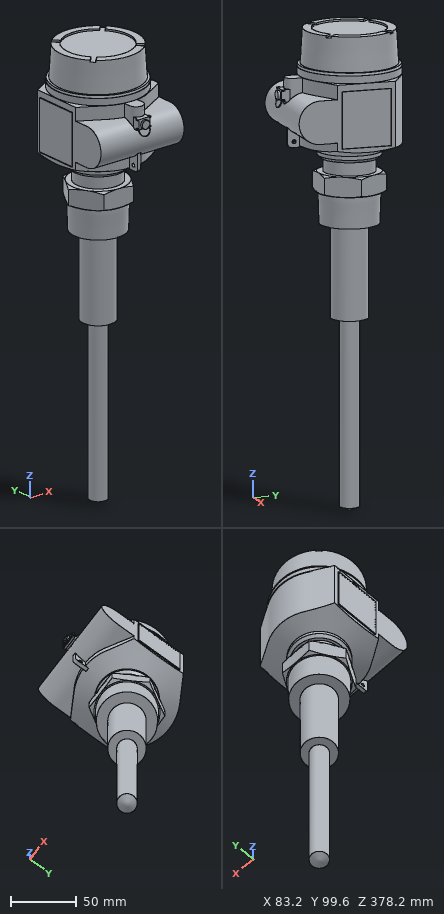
import cadquery as cq
import math

TOTAL_HEIGHT = 378.15
TIP_CONE_TOP = 3.3
SLEEVE_BOTTOM = 151.0
THREAD_BOTTOM = 225.1
THREAD_TOP = 245.8
NUT_BOTTOM = 250.0
NUT_TOP = 266.0
COLLAR_BOTTOM = 276.8
COLLAR_EDGE = 279.2
COLLAR_TOP = 282.3
HOUSING_BOTTOM = 288.3
HOUSING_TOP = 342.5
CAP_RIM_BOTTOM = 348.5
CAP_RIM_TOP = 350.6

ROD_RADIUS = 7.9
SLEEVE_RADIUS = 14.75
THREAD_RADIUS = 24.15
THREAD_TAPER = 1 / 32
NUT_ACROSS_FLATS = 50.5
NUT_CHAMFER_DROP = 1.5
NECK_RADIUS = 20.4
COLLAR_RADIUS = 25.0
COLLAR_END_RADIUS = 22.6

HOUSING_RADIUS = 40.75
HOUSING_NECK_RADIUS = 40.2
CAP_RIM_RADIUS = 40.5
CAP_RIM_EDGE_RADIUS = 39.9
CAP_BASE_RADIUS = 37.8
CAP_TOP_RADIUS = 36.2
CAP_RECESS_RADIUS = 29.2
CAP_RECESS_DEPTH = 1.5
CAP_SLOT_WIDTH = 4.4
CAP_SLOT_COUNT = 4

OVERALL_WIDTH = 83.2
PLATE_LENGTH = 39.5
PLATE_BOTTOM = 292.4
PLATE_TOP = 337.2

BARREL_RADIUS = 17.0
BARREL_Y = -37.5
BARREL_Z = 314.2

BOSS_RADIUS = 6.35
BOSS_Y = -46.4
OVERALL_DEPTH = 99.55
TERMINAL_FRONT_Y = HOUSING_RADIUS - OVERALL_DEPTH
SCREW_Z = 329.0
SCREW_RADIUS = 3.7
SCREW_LENGTH = 2.0
CLAMP_THICKNESS = 2.4
CLAMP_BOTTOM = 325.4
CLAMP_TOP = 334.0
CLAMP_WAIST = 10.6
CLAMP_NOTCH_MARGIN = 0.9
STEM_BOTTOM = 324.2
TAB_THICKNESS = 0.9
TAB_BOTTOM = 319.5

LUG_THICKNESS = 3.2
LUG_FRONT_Y = -50.5
LUG_BOTTOM = 287.2
LUG_CORNER = 3.5
LUG_HOLE_DIAMETER = 3.0
LUG_HOLE_Y = -45.2
LUG_HOLE_Z = 291.9


def box(x_size, y_range, z_range):
    """Block centred on X, between two Y values and two Z values."""
    return (
        cq.Workplane("XY")
        .box(x_size, y_range[1] - y_range[0], z_range[1] - z_range[0], centered=(True, False, False))
        .translate((0, y_range[0], z_range[0]))
    )


def revolve_profile(points):
    """Solid of revolution about Z from (radius, z) points."""
    return cq.Workplane("XZ").polyline(points).close().revolve(360, (0, 0), (0, 1))


def make_probe():
    thread_end_radius = THREAD_RADIUS - THREAD_TAPER * (THREAD_TOP - THREAD_BOTTOM)
    return revolve_profile([
        (0, 0),
        (ROD_RADIUS, TIP_CONE_TOP),
        (ROD_RADIUS, SLEEVE_BOTTOM),
        (SLEEVE_RADIUS, SLEEVE_BOTTOM),
        (SLEEVE_RADIUS, THREAD_BOTTOM),
        (thread_end_radius, THREAD_BOTTOM),
        (THREAD_RADIUS, THREAD_TOP),
        (THREAD_RADIUS, NUT_BOTTOM),
        (NECK_RADIUS, NUT_BOTTOM),
        (NECK_RADIUS, COLLAR_BOTTOM),
        (COLLAR_END_RADIUS, COLLAR_BOTTOM),
        (COLLAR_RADIUS, COLLAR_EDGE),
        (COLLAR_RADIUS, COLLAR_TOP),
        (0, COLLAR_TOP),
    ])


def make_nut():
    """Hexagon with corners on X, its corners turned off by a cone at each end."""
    flat_radius = NUT_ACROSS_FLATS / 2
    corner_radius = flat_radius / math.cos(math.pi / 6)
    hexagon = (
        cq.Workplane("XY", origin=(0, 0, NUT_BOTTOM))
        .polygon(6, 2 * corner_radius)
        .extrude(NUT_TOP - NUT_BOTTOM)
    )
    turned_blank = revolve_profile([
        (0, NUT_BOTTOM),
        (flat_radius, NUT_BOTTOM),
        (corner_radius, NUT_BOTTOM + NUT_CHAMFER_DROP),
        (corner_radius, NUT_TOP - NUT_CHAMFER_DROP),
        (flat_radius, NUT_TOP),
        (0, NUT_TOP),
    ])
    return hexagon.intersect(turned_blank)


def make_housing():
    """Hexagonal body with flats on +X and -X, rounded at front and back, on a conical floor."""
    half_flat = HOUSING_RADIUS * math.tan(math.pi / 6)
    tangent_x = HOUSING_RADIUS * math.sin(math.pi / 6)
    tangent_y = HOUSING_RADIUS * math.cos(math.pi / 6)
    body = (
        cq.Workplane("XY", origin=(0, 0, COLLAR_TOP))
        .moveTo(HOUSING_RADIUS, -half_flat)
        .lineTo(HOUSING_RADIUS, half_flat)
        .lineTo(tangent_x, tangent_y)
        .threePointArc((0, HOUSING_RADIUS), (-tangent_x, tangent_y))
        .lineTo(-HOUSING_RADIUS, half_flat)
        .lineTo(-HOUSING_RADIUS, -half_flat)
        .lineTo(-tangent_x, -tangent_y)
        .threePointArc((0, -HOUSING_RADIUS), (tangent_x, -tangent_y))
        .close()
        .extrude(HOUSING_TOP - COLLAR_TOP)
    )
    floor_slope = (HOUSING_BOTTOM - COLLAR_TOP) / (HOUSING_RADIUS - COLLAR_RADIUS)
    outer_radius = HOUSING_RADIUS / math.cos(math.pi / 6)
    floor_edge = COLLAR_TOP + floor_slope * (outer_radius - COLLAR_RADIUS)
    floor_cone = revolve_profile([
        (0, COLLAR_TOP),
        (COLLAR_RADIUS, COLLAR_TOP),
        (outer_radius, floor_edge),
        (outer_radius, HOUSING_TOP),
        (0, HOUSING_TOP),
    ])
    return body.intersect(floor_cone)


def make_side_plates():
    return box(OVERALL_WIDTH, (-PLATE_LENGTH / 2, PLATE_LENGTH / 2), (PLATE_BOTTOM, PLATE_TOP))


def make_barrel():
    """Full-width cable entry: half-round front, flat top and bottom back to the housing."""
    barrel = (
        cq.Workplane("YZ", origin=(-HOUSING_RADIUS, 0, 0))
        .center(BARREL_Y, BARREL_Z)
        .circle(BARREL_RADIUS)
        .extrude(2 * HOUSING_RADIUS)
    )
    bridge_z = (BARREL_Z - BARREL_RADIUS, BARREL_Z + BARREL_RADIUS)
    return barrel.union(box(2 * HOUSING_RADIUS, (BARREL_Y, 0), bridge_z))


def make_cap():
    cap = revolve_profile([
        (0, HOUSING_TOP),
        (HOUSING_NECK_RADIUS, HOUSING_TOP),
        (HOUSING_NECK_RADIUS, CAP_RIM_BOTTOM),
        (CAP_RIM_RADIUS, CAP_RIM_BOTTOM),
        (CAP_RIM_EDGE_RADIUS, CAP_RIM_TOP),
        (CAP_BASE_RADIUS, CAP_RIM_TOP),
        (CAP_TOP_RADIUS, TOTAL_HEIGHT),
        (CAP_RECESS_RADIUS, TOTAL_HEIGHT),
        (CAP_RECESS_RADIUS, TOTAL_HEIGHT - CAP_RECESS_DEPTH),
        (0, TOTAL_HEIGHT - CAP_RECESS_DEPTH),
    ])
    slot = box(CAP_SLOT_WIDTH, (0, CAP_BASE_RADIUS), (TOTAL_HEIGHT - CAP_RECESS_DEPTH, TOTAL_HEIGHT))
    slot_spacing = 360 / CAP_SLOT_COUNT
    for index in range(CAP_SLOT_COUNT):
        cap = cap.cut(slot.rotate((0, 0, 0), (0, 0, 1), slot_spacing * (index + 0.5)))
    return cap


def make_terminal_boss():
    boss = cq.Workplane("XY", origin=(0, BOSS_Y, BARREL_Z)).circle(BOSS_RADIUS)
    boss = boss.extrude(HOUSING_TOP - BARREL_Z)
    return boss.union(box(2 * BOSS_RADIUS, (BOSS_Y, BARREL_Y), (BARREL_Z, HOUSING_TOP)))


def make_terminal_clamp():
    """Stem, waisted clamp plate, round screw head and an outward-bent round tab."""
    clamp_front = TERMINAL_FRONT_Y + SCREW_LENGTH
    clamp_back = clamp_front + CLAMP_THICKNESS
    stem = box(CLAMP_WAIST, (clamp_back, BOSS_Y), (STEM_BOTTOM, CLAMP_TOP))
    plate = box(2 * BOSS_RADIUS, (clamp_front, clamp_back), (CLAMP_BOTTOM, CLAMP_TOP))
    waist_z = (CLAMP_BOTTOM + CLAMP_NOTCH_MARGIN, CLAMP_TOP - CLAMP_NOTCH_MARGIN)
    waist_cut = box(3 * BOSS_RADIUS, (clamp_front, clamp_back), waist_z)
    waist_cut = waist_cut.cut(box(CLAMP_WAIST, (clamp_front, clamp_back), waist_z))
    screw = (
        cq.Workplane("XZ", origin=(0, clamp_front, SCREW_Z))
        .circle(SCREW_RADIUS)
        .extrude(SCREW_LENGTH)
    )
    return stem.union(plate.cut(waist_cut)).union(screw).union(make_tab(clamp_front))


def make_tab(clamp_front):
    tab_back = clamp_front + TAB_THICKNESS
    strip = (
        cq.Workplane("YZ")
        .polyline([
            (clamp_front, CLAMP_BOTTOM + TAB_THICKNESS),
            (tab_back, CLAMP_BOTTOM + TAB_THICKNESS),
            (tab_back, CLAMP_BOTTOM),
            (TERMINAL_FRONT_Y + TAB_THICKNESS, TAB_BOTTOM),
            (TERMINAL_FRONT_Y, TAB_BOTTOM),
            (clamp_front, CLAMP_BOTTOM),
        ])
        .close()
        .extrude(CLAMP_WAIST / 2, both=True)
    )
    round_end = (
        cq.Workplane("XZ", origin=(0, 0, TAB_BOTTOM + CLAMP_WAIST / 2))
        .circle(CLAMP_WAIST / 2)
        .extrude(-2 * TERMINAL_FRONT_Y, both=True)
    )
    return strip.intersect(round_end)


def make_lug():
    lug = box(LUG_THICKNESS, (LUG_FRONT_Y, BARREL_Y), (LUG_BOTTOM, BARREL_Z))
    lug = lug.edges("|X and <Y and <Z").fillet(LUG_CORNER)
    hole = (
        cq.Workplane("YZ", origin=(-LUG_THICKNESS, LUG_HOLE_Y, LUG_HOLE_Z))
        .circle(LUG_HOLE_DIAMETER / 2)
        .extrude(2 * LUG_THICKNESS)
    )
    return lug.cut(hole)


result = make_probe()
for feature in (
    make_nut(),
    make_housing(),
    make_side_plates(),
    make_barrel(),
    make_cap(),
    make_terminal_boss(),
    make_terminal_clamp(),
    make_lug(),
):
    result = result.union(feature)